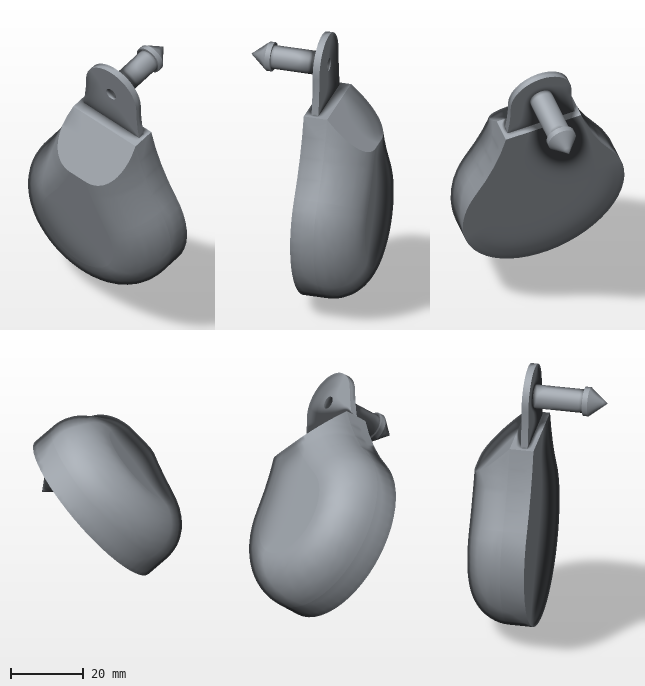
import cadquery as cq
import math


body_radius = 23.95
body_top = 34.0
body_top_half_width = 11.15
flank_angle = math.radians(33)
rim_depth = 6.7
edge_radius = 11.3
body_depth = rim_depth + edge_radius
cutter_margin = 0.8
flank_cutter_sweep = math.radians(30)

tab_radius = 9.0
tab_eye_height = 45.1
tab_foot_half_width = 10.0
tab_thickness = 1.95
tab_setback = 1.9

peg_radius = 3.3
collar_radius = 4.05
collar_start = 12.0
collar_length = 1.5
cone_length = 5.0
hole_radius = 1.8
hole_depth = 7.8


def flank_circle(radius, centre_height, angle, top_half_width, top_height):
    """Centre x, centre z and radius of the arc tangent to a circle that ends at a flat top.

    The angle gives the point on the circle where the right flank starts.
    """
    normal_x = math.cos(angle)
    normal_z = math.sin(angle)
    run_x = top_half_width - radius * normal_x
    run_z = top_height - centre_height - radius * normal_z
    flank_radius = (run_x**2 + run_z**2) / (2 * (run_x * normal_x + run_z * normal_z))
    centre_distance = radius + flank_radius
    return centre_distance * normal_x, centre_height + centre_distance * normal_z, flank_radius


def bulb_profile(radius, centre_height, angle, far_height, top_half_width, top_height):
    """Outline in XZ: a circular arc through far_height, tangent concave flanks and a flat end."""
    centre_x, centre_z, flank_radius = flank_circle(
        radius, centre_height, angle, top_half_width, top_height
    )
    start_x = radius * math.cos(angle)
    start_z = centre_height + radius * math.sin(angle)
    to_chord_x = (start_x + top_half_width) / 2 - centre_x
    to_chord_z = (start_z + top_height) / 2 - centre_z
    stretch = flank_radius / math.hypot(to_chord_x, to_chord_z)
    mid_x = centre_x + to_chord_x * stretch
    mid_z = centre_z + to_chord_z * stretch
    return (
        cq.Workplane("XZ")
        .moveTo(top_half_width, top_height)
        .threePointArc((mid_x, mid_z), (start_x, start_z))
        .threePointArc((0, far_height), (-start_x, start_z))
        .threePointArc((-mid_x, mid_z), (-top_half_width, top_height))
        .close()
    )


def edge_cutter(centre_x, centre_z, start_angle, edge_distance, inward, sweep):
    """Waste outside the rounded front edge, revolved about an axis along Y.

    The edge lies at edge_distance from the axis. Inward is the radial sign
    pointing into the body, and start_angle is measured from +X towards +Z.
    """
    radial_x = math.cos(start_angle)
    radial_z = math.sin(start_angle)
    plane = cq.Plane(
        origin=(centre_x, 0, centre_z),
        xDir=(radial_x, 0, radial_z),
        normal=(-radial_z, 0, radial_x),
    )
    outer = edge_distance - inward * cutter_margin
    inner = edge_distance + inward * edge_radius
    diagonal = edge_radius * math.sqrt(0.5)
    arc_middle = (inner - inward * diagonal, -rim_depth - diagonal)
    return (
        cq.Workplane(plane)
        .moveTo(edge_distance, -rim_depth)
        .threePointArc(arc_middle, (inner, -body_depth))
        .lineTo(inner, -body_depth - cutter_margin)
        .lineTo(outer, -body_depth - cutter_margin)
        .lineTo(outer, -rim_depth)
        .close()
        .revolve(math.degrees(sweep), (0, 0), (0, 1))
    )


def make_body():
    block = bulb_profile(
        body_radius, 0, flank_angle, -body_radius, body_top_half_width, body_top
    ).extrude(body_depth)
    slope = (
        cq.Workplane("YZ")
        .moveTo(-rim_depth, body_top)
        .lineTo(-body_depth, body_top - edge_radius)
        .lineTo(-body_depth, body_top)
        .close()
        .extrude(body_radius, both=True)
    )
    round_cutter = edge_cutter(0, 0, flank_angle, body_radius, -1, math.pi + 2 * flank_angle)
    centre_x, centre_z, flank_radius = flank_circle(
        body_radius, 0, flank_angle, body_top_half_width, body_top
    )
    flank_cutter = edge_cutter(
        centre_x, centre_z, flank_angle + math.pi, flank_radius, 1, flank_cutter_sweep
    )
    return (
        block.cut(slope)
        .cut(round_cutter)
        .cut(flank_cutter)
        .cut(flank_cutter.mirror("YZ"))
    )


def make_tab():
    tab_top = tab_eye_height + tab_radius
    profile = bulb_profile(
        tab_radius, tab_eye_height, 0, tab_top, tab_foot_half_width, body_top
    )
    return profile.extrude(tab_thickness).translate((0, -tab_setback, 0))


def make_peg():
    collar_end = collar_start + collar_length
    return (
        cq.Workplane("XY")
        .moveTo(0, -tab_setback)
        .lineTo(peg_radius, -tab_setback)
        .lineTo(peg_radius, collar_start)
        .lineTo(collar_radius, collar_start)
        .lineTo(collar_radius, collar_end)
        .lineTo(0, collar_end + cone_length)
        .close()
        .revolve(360, (0, 0), (0, 1))
        .translate((0, 0, tab_eye_height))
    )


def make_hole():
    tab_front = -tab_setback - tab_thickness
    return (
        cq.Workplane("XZ", origin=(0, tab_front, tab_eye_height))
        .circle(hole_radius)
        .extrude(-hole_depth)
    )


result = make_body().union(make_tab()).union(make_peg()).cut(make_hole())